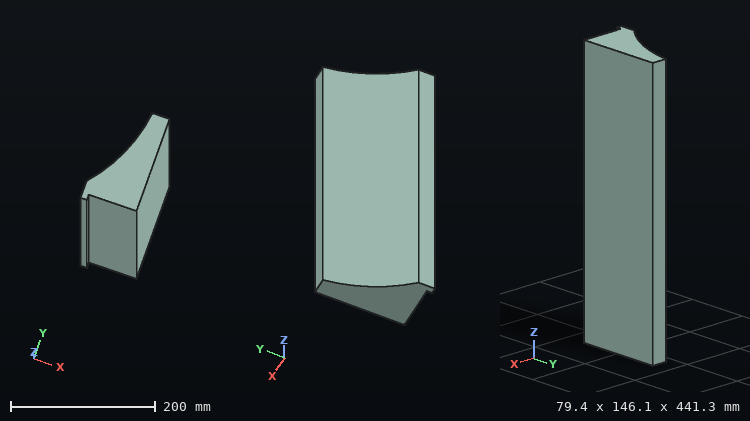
import cadquery as cq
import math

WIDTH = 79.375
DEPTH = 146.05
HEIGHT = 441.325

BACK_WIDTH = 25.4
SIDE_LAND = 25.4
LIP_THICKNESS = 9.525
LIP_DEPTH = 7.9375
COVE_RADIUS = 222.25


def cove_midpoint(start, end, radius):
    """Middle of the hollow arc, offset from the chord toward +X."""
    chord_x = end[0] - start[0]
    chord_y = end[1] - start[1]
    chord = math.hypot(chord_x, chord_y)
    sagitta = radius - math.sqrt(radius**2 - (chord / 2) ** 2)
    middle_x = (start[0] + end[0]) / 2 + sagitta * abs(chord_y) / chord
    middle_y = (start[1] + end[1]) / 2 - sagitta * abs(chord_x) / chord
    return (middle_x, middle_y)


def make_moulding():
    """Constant cove profile, drawn in XY and extruded up Z."""
    cove_top = (WIDTH - BACK_WIDTH, DEPTH)
    cove_bottom = (0, SIDE_LAND)
    return (
        cq.Workplane("XY")
        .moveTo(0, 0)
        .lineTo(LIP_THICKNESS, 0)
        .lineTo(LIP_THICKNESS, LIP_DEPTH)
        .lineTo(WIDTH, LIP_DEPTH)
        .lineTo(WIDTH, DEPTH)
        .lineTo(*cove_top)
        .threePointArc(cove_midpoint(cove_top, cove_bottom, COVE_RADIUS), cove_bottom)
        .close()
        .extrude(HEIGHT)
    )


result = make_moulding()